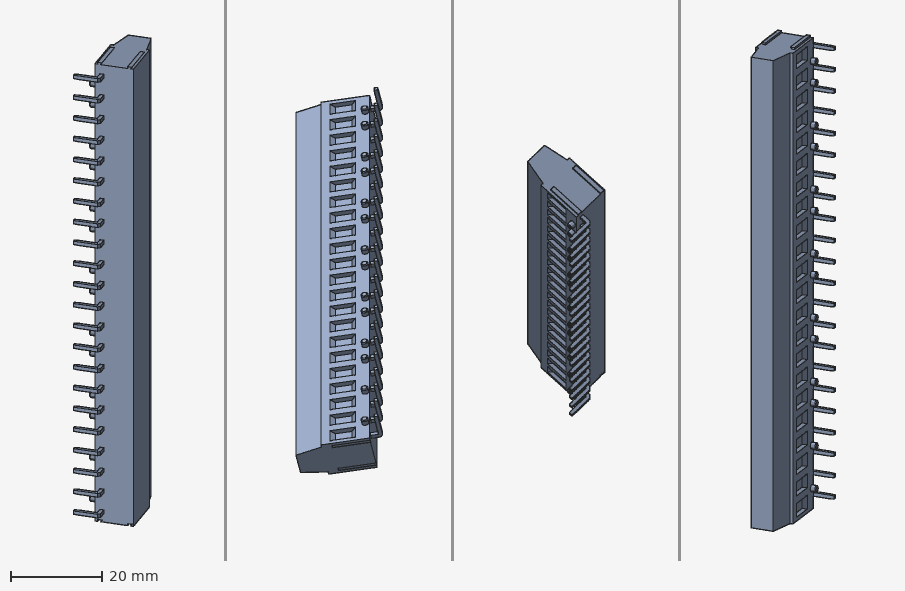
import cadquery as cq

pole_count = 22
total_height = 110.6
rib_height = 0.4
body_height = total_height - rib_height
first_pole_z = 2.5
pole_span = 104.9
pole_pitch = pole_span / (pole_count - 1)
pole_heights = [first_pole_z + pole * pole_pitch for pole in range(pole_count)]

body_left = 4.1
body_right = 13.0
body_front = 2.7
body_back = 19.5
shoulder_y = 13.5
nose_base_left = 4.8
nose_base_right = 12.4
nose_tip_left = 6.1
nose_tip_right = 11.4

rib_left_edges = (4.8, 11.7)
rib_root_width = 0.7
rib_crest_width = 1.0
rib_back = 11.2

funnel_mouth_front = 5.7
funnel_mouth_back = 11.5
funnel_mouth_height = 3.2
funnel_floor_front = 6.7
funnel_floor_back = 10.4
funnel_floor_height = 2.7
funnel_depth = 0.9

pin_thickness = 0.9
pin_right = 6.2
pin_bend_chamfer = 0.5
pin_tip_length = 1.1
pin_tip_inset = 0.05
pin_embed = 0.5

peg_radius = 0.8
peg_left = 2.8
peg_y = 3.5
peg_chamfer = 0.2
pegged_poles = (0, 2, 4, 5, 7, 8, 10, 11, 13, 14, 16, 17, 19, 20)


def make_housing():
    return (
        cq.Workplane("XY")
        .polyline([
            (body_left, body_front),
            (body_right, body_front),
            (body_right, shoulder_y),
            (nose_base_right, shoulder_y),
            (nose_tip_right, body_back),
            (nose_tip_left, body_back),
            (nose_base_left, shoulder_y),
            (body_left, shoulder_y),
        ])
        .close()
        .extrude(body_height)
    )


def make_dovetail(left, base_z):
    """Rib with an upright -X flank and a +X flank that widens towards the crest."""
    return (
        cq.Workplane("XZ", origin=(left, body_front, base_z))
        .polyline([(0, 0), (rib_root_width, 0), (rib_crest_width, rib_height), (0, rib_height)])
        .close()
        .extrude(body_front - rib_back)
    )


def make_funnel(pole_z):
    mouth_y = (funnel_mouth_front + funnel_mouth_back) / 2
    floor_y = (funnel_floor_front + funnel_floor_back) / 2
    return (
        cq.Workplane("YZ", origin=(body_left, mouth_y, pole_z))
        .rect(funnel_mouth_back - funnel_mouth_front, funnel_mouth_height)
        .workplane(offset=funnel_depth)
        .center(floor_y - mouth_y, 0)
        .rect(funnel_floor_back - funnel_floor_front, funnel_floor_height)
        .loft(ruled=True)
    )


def make_pin(pole_z):
    """L-shaped pin: a short leg out of the -Y face, then a long leg towards -X."""
    leg_left = pin_right - pin_thickness
    bend = (
        cq.Workplane("XY")
        .workplane(offset=pole_z - pin_thickness / 2)
        .polyline([
            (pin_tip_length, 0),
            (pin_right - pin_bend_chamfer, 0),
            (pin_right, pin_bend_chamfer),
            (pin_right, body_front + pin_embed),
            (leg_left, body_front + pin_embed),
            (leg_left, pin_thickness),
            (pin_tip_length, pin_thickness),
        ])
        .close()
        .extrude(pin_thickness)
    )
    tip_width = pin_thickness - 2 * pin_tip_inset
    tip = (
        cq.Workplane("YZ", origin=(pin_tip_length, pin_thickness / 2, pole_z))
        .rect(pin_thickness, pin_thickness)
        .workplane(offset=-pin_tip_length)
        .rect(tip_width, tip_width)
        .loft(ruled=True)
    )
    return bend.union(tip)


def make_peg(peg_z):
    return (
        cq.Workplane("YZ", origin=(peg_left, peg_y, peg_z))
        .circle(peg_radius)
        .extrude(body_left - peg_left)
        .faces("<X")
        .chamfer(peg_chamfer)
    )


result = make_housing()

for rib_left in rib_left_edges:
    result = result.union(make_dovetail(rib_left, body_height))
    result = result.cut(make_dovetail(rib_left, 0))

for height in pole_heights:
    result = result.cut(make_funnel(height))
    result = result.union(make_pin(height))

for pole in pegged_poles:
    result = result.union(make_peg(pole_heights[pole] + pole_pitch / 2))